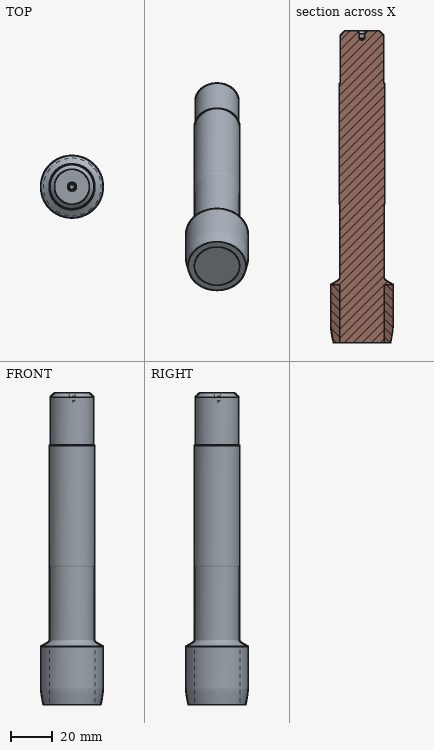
import cadquery as cq
import math

TOTAL_LENGTH = 150.0

SLEEVE_DIAMETER = 30.2
SLEEVE_END_DIAMETER = 27.8
LEAD_IN_TOP_HEIGHT = 7.8
LEAD_IN_RADIUS = 45.0

RELIEF_DIAMETER = 21.8
COLLAR_BOTTOM_HEIGHT = 27.9
COLLAR_RIM_THICKNESS = 0.2
NECK_FILLET_DIAMETER = 23.1
NECK_FILLET_HEIGHT = 30.2
NECK_TOP_HEIGHT = 31.2
GUIDE_DIAMETER = 22.0
TIP_DIAMETER = 21.2
GUIDE_START_HEIGHT = 66.2
GUIDE_TAPER_LENGTH = 0.9
GUIDE_END_HEIGHT = 125.0
GUIDE_END_CHAMFER = (GUIDE_DIAMETER - TIP_DIAMETER) / 2
TIP_CHAMFER_HEIGHT = 2.1
TIP_FACE_DIAMETER = 16.8

CENTRE_HOLE_DIAMETER = 2.5
COUNTERSINK_DIAMETER = 4.2
CENTRE_HOLE_DEPTH = 3.8
COUNTERSINK_ANGLE = 60.0
DRILL_POINT_ANGLE = 120.0


def cone_depth(diameter, angle):
    """Axial length of a cone of the given base diameter and included angle."""
    return diameter / 2 / math.tan(math.radians(angle / 2))


def revolve_about_z(profile):
    """Revolve a closed (radius, height) profile about the Z axis."""
    return profile.close().revolve(360, (0, 0, 0), (0, 1, 0))


def make_centre_hole():
    """Cutter for the countersunk centre hole with its drill point."""
    hole_radius = CENTRE_HOLE_DIAMETER / 2
    sink_depth = cone_depth(COUNTERSINK_DIAMETER - CENTRE_HOLE_DIAMETER, COUNTERSINK_ANGLE)
    hole_bottom = TOTAL_LENGTH - CENTRE_HOLE_DEPTH
    profile = (
        cq.Workplane("XZ")
        .moveTo(0, TOTAL_LENGTH)
        .lineTo(COUNTERSINK_DIAMETER / 2, TOTAL_LENGTH)
        .lineTo(hole_radius, TOTAL_LENGTH - sink_depth)
        .lineTo(hole_radius, hole_bottom)
        .lineTo(0, hole_bottom - cone_depth(CENTRE_HOLE_DIAMETER, DRILL_POINT_ANGLE))
    )
    return revolve_about_z(profile)


def make_pin():
    """Stepped pin with a filleted collar, a relief, a guide length and a chamfered tip."""
    profile = (
        cq.Workplane("XZ")
        .lineTo(RELIEF_DIAMETER / 2, 0)
        .lineTo(RELIEF_DIAMETER / 2, COLLAR_BOTTOM_HEIGHT)
        .lineTo(SLEEVE_DIAMETER / 2, COLLAR_BOTTOM_HEIGHT)
        .lineTo(SLEEVE_DIAMETER / 2, COLLAR_BOTTOM_HEIGHT + COLLAR_RIM_THICKNESS)
        .lineTo(NECK_FILLET_DIAMETER / 2, NECK_FILLET_HEIGHT)
        .tangentArcPoint((RELIEF_DIAMETER / 2, NECK_TOP_HEIGHT), relative=False)
        .lineTo(RELIEF_DIAMETER / 2, GUIDE_START_HEIGHT)
        .lineTo(GUIDE_DIAMETER / 2, GUIDE_START_HEIGHT + GUIDE_TAPER_LENGTH)
        .lineTo(GUIDE_DIAMETER / 2, GUIDE_END_HEIGHT - GUIDE_END_CHAMFER)
        .lineTo(TIP_DIAMETER / 2, GUIDE_END_HEIGHT)
        .lineTo(TIP_DIAMETER / 2, TOTAL_LENGTH - TIP_CHAMFER_HEIGHT)
        .lineTo(TIP_FACE_DIAMETER / 2, TOTAL_LENGTH)
        .lineTo(0, TOTAL_LENGTH)
    )
    return revolve_about_z(profile).cut(make_centre_hole())


def make_sleeve():
    """Sleeve bored for the pin's foot, with a rounded lead-in at its lower end."""
    bore_radius = RELIEF_DIAMETER / 2
    outer_radius = SLEEVE_DIAMETER / 2
    profile = (
        cq.Workplane("XZ")
        .moveTo(bore_radius, COLLAR_BOTTOM_HEIGHT)
        .lineTo(bore_radius, 0)
        .lineTo(SLEEVE_END_DIAMETER / 2, 0)
        .radiusArc((outer_radius, LEAD_IN_TOP_HEIGHT), -LEAD_IN_RADIUS)
        .lineTo(outer_radius, COLLAR_BOTTOM_HEIGHT)
    )
    return revolve_about_z(profile)


pin = make_pin()
sleeve = make_sleeve()
result = cq.Compound.makeCompound([pin.val(), sleeve.val()])